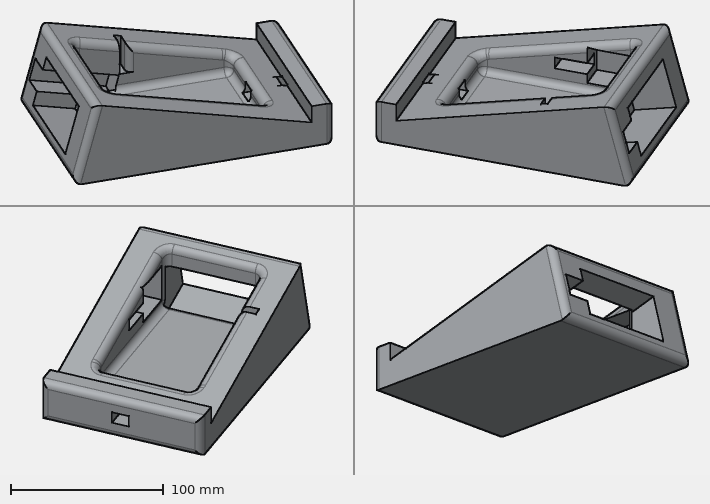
import cadquery as cq
import math

WIDTH = 115.0
LENGTH = 178.5
HEIGHT = 57.0
TILT = 15.0
EDGE_RADIUS = 5.0

LIP_HEIGHT = 30.3
LIP_THICKNESS = 15.3

POCKET_WIDTH = 69.5
POCKET_FRONT = 28.5
POCKET_BACK = 138.1
POCKET_FLOOR = 10.0
RIM_RADIUS = 5.5

TUNNEL_HALF_WIDTH = 33.7
TUNNEL_DEPTH = 30.2
TUNNEL_BOTTOM = 10.9
TUNNEL_TOP = 46.5
BRANCH_LEFT = -49.5
BRANCH_DEPTH = 54.6
BRANCH_BOTTOM = 21.2
BRANCH_TOP = 37.3

CHAMBER_RIGHT = 53.0
CHAMBER_BACK = 63.5
CHAMBER_BOTTOM = 16.0
CHAMBER_TOP = 42.3
SHELF_RIGHT = 48.5
SHELF_BACK = 86.2
SHELF_BOTTOM = 22.7
SHELF_TOP = 30.9

REAR_SLOT_LEFT = -5.4
REAR_SLOT_RIGHT = 6.6
REAR_SLOT_BOTTOM = 11.0
REAR_SLOT_TOP = 19.1

NOTCH_LEFT = -47.0
NOTCH_FRONT = 61.4
NOTCH_BACK = 66.2
NOTCH_FLOOR = SHELF_BOTTOM
NOTCH_FLARE = 4.6

sine = math.sin(math.radians(TILT))
cosine = math.cos(math.radians(TILT))
tangent = sine / cosine
half_width = WIDTH / 2
pocket_half_width = POCKET_WIDTH / 2

face_foot_y = EDGE_RADIUS * (1 - 1 / cosine - tangent)
top_round_z = HEIGHT - EDGE_RADIUS
top_round_y = EDGE_RADIUS + (top_round_z - EDGE_RADIUS) * tangent
corner_y = top_round_y + EDGE_RADIUS * (sine - cosine)
corner_z = top_round_z + EDGE_RADIUS * (sine + cosine)
lip_front = LENGTH - LIP_THICKNESS
deck_low_z = corner_z - (lip_front - corner_y) * tangent


def box(x_range, y_range, z_range):
    """Box between the given limits on each axis."""
    sizes = [high - low for low, high in (x_range, y_range, z_range)]
    return cq.Workplane("XY").box(*sizes, centered=False).translate((x_range[0], y_range[0], z_range[0]))


def tilted_box(x_range, depth_range, rise_range):
    """Box parallel to the deck; depth is measured inward from the front face."""
    level = box(x_range, depth_range, rise_range)
    return level.rotate((0, 0, 0), (1, 0, 0), -TILT).translate((0, face_foot_y, 0))


def make_body():
    profile = [
        (face_foot_y, 0),
        (LENGTH, 0),
        (LENGTH, LIP_HEIGHT),
        (lip_front, LIP_HEIGHT),
        (lip_front, deck_low_z),
        (corner_y, corner_z),
    ]
    wedge = cq.Workplane("YZ").polyline(profile).close().extrude(half_width, both=True)
    front_face = cq.selectors.DirectionMinMaxSelector(cq.Vector(0, -cosine, sine))
    for end_face in (">Y", front_face):
        wedge = wedge.faces(end_face).edges().fillet(EDGE_RADIUS)
    return wedge


def cut_pocket(body):
    pocket = box(
        (-pocket_half_width, pocket_half_width),
        (POCKET_FRONT, POCKET_BACK),
        (POCKET_FLOOR, HEIGHT),
    )
    pocket = pocket.edges("|Z").fillet(EDGE_RADIUS).faces("<Z").edges().fillet(EDGE_RADIUS)
    opened = body.cut(pocket)
    deck_normal = cq.Vector(0, sine, cosine)
    deck = opened.faces(cq.ParallelDirSelector(deck_normal))
    rim = deck.val().innerWires()[0]
    return opened.newObject(rim.Edges()).fillet(RIM_RADIUS)


def make_tunnels():
    main = tilted_box(
        (-TUNNEL_HALF_WIDTH, TUNNEL_HALF_WIDTH), (-EDGE_RADIUS, TUNNEL_DEPTH), (TUNNEL_BOTTOM, TUNNEL_TOP)
    )
    branch = tilted_box(
        (BRANCH_LEFT, -TUNNEL_HALF_WIDTH), (-EDGE_RADIUS, BRANCH_DEPTH), (BRANCH_BOTTOM, BRANCH_TOP)
    )
    return main.union(branch)


def make_side_recess():
    """Tall chamber and the level shelf behind it, both opening into the pocket."""
    inside = pocket_half_width - EDGE_RADIUS
    front = POCKET_FRONT + EDGE_RADIUS
    chamber = box((inside, CHAMBER_RIGHT), (front, CHAMBER_BACK), (CHAMBER_BOTTOM, CHAMBER_TOP))
    shelf = box((inside, SHELF_RIGHT), (front, SHELF_BACK), (SHELF_BOTTOM, SHELF_TOP))
    return chamber.union(shelf)


def make_rear_slot():
    return box(
        (REAR_SLOT_LEFT, REAR_SLOT_RIGHT),
        (POCKET_BACK - EDGE_RADIUS, LENGTH),
        (REAR_SLOT_BOTTOM, REAR_SLOT_TOP),
    )


def make_notch():
    """Level-floored notch whose rear corner flares out in an arc at the pocket wall."""
    wall = -pocket_half_width
    bend = NOTCH_FLARE * math.sqrt(0.5)
    return (
        cq.Workplane("XY", origin=(0, 0, NOTCH_FLOOR))
        .moveTo(NOTCH_LEFT, NOTCH_FRONT)
        .lineTo(wall, NOTCH_FRONT)
        .lineTo(wall, NOTCH_BACK + NOTCH_FLARE)
        .threePointArc(
            (wall - NOTCH_FLARE + bend, NOTCH_BACK + NOTCH_FLARE - bend),
            (wall - NOTCH_FLARE, NOTCH_BACK),
        )
        .lineTo(NOTCH_LEFT, NOTCH_BACK)
        .close()
        .extrude(HEIGHT - NOTCH_FLOOR)
    )


result = cut_pocket(make_body())
for cutter in (make_tunnels(), make_side_recess(), make_rear_slot(), make_notch()):
    result = result.cut(cutter)